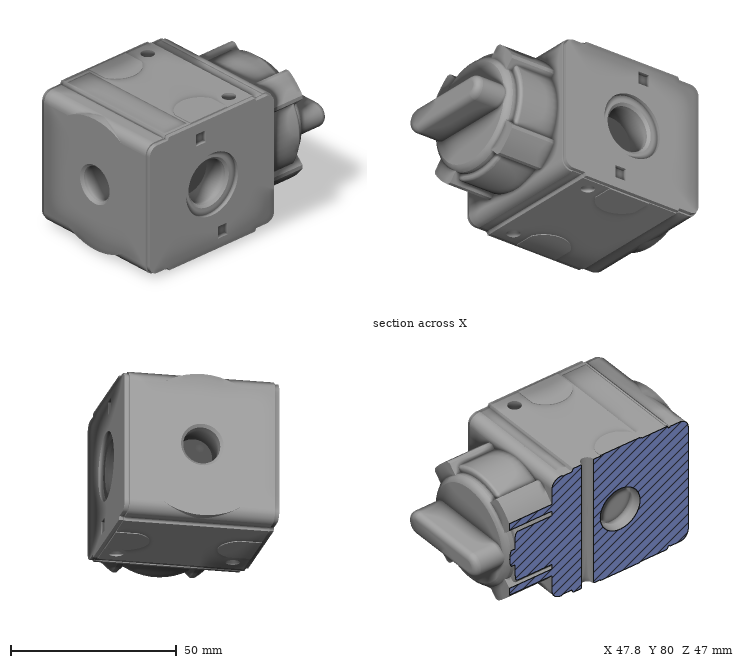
import cadquery as cq
import math


BODY_WIDTH = 45.0
BODY_LENGTH = 52.0
BODY_HEIGHT = 45.0
BODY_CORNER_RADIUS = 3.5
FRONT_BOSS_LENGTH = 10.0

PANEL_LENGTH = 35.8
PANEL_HEIGHT = 46.5
PANEL_EDGE_SLOPE = 0.5
RELIEF_DEPTH = 0.3
REAR_RELIEF_END = 22.0
FRONT_RELIEF_END = -18.9

PLATE_THICKNESS = 1.4
PLATE_INSET = 0.5
PANEL_INSET = 0.25

PAD_LENGTH = 15.0
PAD_RADIUS = 8.2
PAD_TIP_X = 10.7
OVERALL_HEIGHT = 47.0
MOUNT_HOLE_DIAMETER = 4.4
MOUNT_HOLE_X = 18.0
MOUNT_HOLE_Y = 12.4
LABEL_WIDTH = 43.0
LABEL_LENGTH = 9.2
LABEL_CENTER_Y = -12.8
LABEL_DEPTH = 0.3

SIDE_PORT_DIAMETER = 14.95
SIDE_PORT_MOUTH_DIAMETER = 16.6
SIDE_PORT_DEPTH = 9.0
SEAL_DIAMETER = 21.4
SEAL_DEPTH = 1.5
FRONT_PORT_DIAMETER = 11.45
FRONT_PORT_MOUTH_DIAMETER = 13.2
FRONT_PORT_DEPTH = 12.0
PORT_CHAMFER_ANGLE = 45.0

POCKET_SIZE = 4.1
POCKET_Y = 4.45
POCKET_Z = 17.6
POCKET_DEPTH = 1.5

BONNET_RADIUS = 20.25
BONNET_END_Y = 40.0
BONNET_EDGE_RADIUS = 1.0
RIB_WIDTH = 10.25
RIB_CIRCLE_RADIUS = 22.5
RIB_SQUARE = 37.25
RIB_ANGLE = 45.0
RIB_END_Y = 42.1
NECK_RADIUS = 18.25
NECK_END_Y = 43.4
NECK_SHOULDER_Y = 41.5
NECK_TOP_RADIUS = 16.4
NECK_SHOULDER_BULGE = 0.3

KNOB_WIDTH = 33.9
KNOB_THICKNESS = 8.0
KNOB_END_Y = 54.0
KNOB_EDGE_RADIUS = 2.1

FRONT_Y = -BODY_LENGTH / 2
REAR_Y = BODY_LENGTH / 2
PLATE_FACE_X = BODY_WIDTH / 2 + PLATE_THICKNESS


def box(width, length, height, center):
    return cq.Workplane("XY").box(width, length, height).translate(center)


def rear_disc(radius, start_y, end_y):
    """Cylinder along Y between two Y positions."""
    return cq.Workplane("XZ", origin=(0, start_y, 0)).circle(radius).extrude(start_y - end_y)


def rounded_block(width, length, height, radius):
    return cq.Workplane("XY").box(width, length, height).edges("|X").fillet(radius)


def raised_panel(width, length, height, foot_height):
    """Block with upper and lower faces of the given length, widening towards its feet."""
    foot_y = length / 2 + PANEL_EDGE_SLOPE
    foot_z = foot_height / 2
    top_y = length / 2
    top_z = height / 2
    profile = [
        (-foot_y, -foot_z),
        (-top_y, -top_z),
        (top_y, -top_z),
        (foot_y, -foot_z),
        (foot_y, foot_z),
        (top_y, top_z),
        (-top_y, top_z),
        (-foot_y, foot_z),
    ]
    return cq.Workplane("YZ").polyline(profile).close().extrude(width / 2, both=True)


def make_body():
    body = rounded_block(BODY_WIDTH, BODY_LENGTH, BODY_HEIGHT, BODY_CORNER_RADIUS)
    boss = rear_disc(BODY_HEIGHT / 2, FRONT_Y, FRONT_Y + FRONT_BOSS_LENGTH)
    body = body.union(boss)
    for end_y in (REAR_RELIEF_END, FRONT_RELIEF_END):
        for side in (1, -1):
            relief_z = side * (BODY_HEIGHT - RELIEF_DEPTH) / 2
            relief = box(BODY_WIDTH, abs(end_y), RELIEF_DEPTH, (0, end_y / 2, relief_z))
            body = body.cut(relief)
    foot_height = BODY_HEIGHT - 2 * RELIEF_DEPTH
    return body.union(raised_panel(BODY_WIDTH, PANEL_LENGTH, PANEL_HEIGHT, foot_height))


def make_end_plates():
    width = 2 * PLATE_FACE_X
    length = BODY_LENGTH - 2 * PLATE_INSET
    height = BODY_HEIGHT - 2 * PLATE_INSET
    plates = rounded_block(width, length, height, BODY_CORNER_RADIUS - PLATE_INSET)
    panel_length = PANEL_LENGTH - 2 * PANEL_INSET
    panel_height = PANEL_HEIGHT - 2 * PANEL_INSET
    return plates.union(raised_panel(width, panel_length, panel_height, height))


def make_pads():
    """Half-round pads at both sides of the upper and lower faces."""
    circle_x = PAD_TIP_X + PAD_RADIUS
    strip_length = BODY_WIDTH / 2 - PAD_TIP_X
    pads = cq.Workplane("XY")
    for side in (1, -1):
        strip_x = side * (PAD_TIP_X + strip_length / 2)
        strip = box(strip_length, PAD_LENGTH, OVERALL_HEIGHT, (strip_x, 0, 0))
        end_x = side * (circle_x + BODY_WIDTH / 2) / 2
        outer = box(BODY_WIDTH / 2 - circle_x, PAD_LENGTH, OVERALL_HEIGHT, (end_x, 0, 0))
        disc = cq.Workplane("XY").center(side * circle_x, 0).circle(PAD_RADIUS)
        disc = disc.extrude(OVERALL_HEIGHT / 2, both=True)
        pads = pads.add(strip.intersect(disc).union(outer))
    return pads.combine()


def make_bonnet():
    bonnet = rear_disc(BONNET_RADIUS, 0, BONNET_END_Y).faces(">Y").edges().fillet(BONNET_EDGE_RADIUS)
    rib_length = RIB_END_Y - REAR_Y
    rib_center = (0, (RIB_END_Y + REAR_Y) / 2, 0)
    ribs = box(2 * RIB_CIRCLE_RADIUS, rib_length, RIB_WIDTH, rib_center)
    ribs = ribs.union(box(RIB_WIDTH, rib_length, 2 * RIB_CIRCLE_RADIUS, rib_center))
    ribs = ribs.rotate((0, 0, 0), (0, 1, 0), RIB_ANGLE)
    ribs = ribs.intersect(rear_disc(RIB_CIRCLE_RADIUS, REAR_Y, RIB_END_Y))
    ribs = ribs.intersect(box(RIB_SQUARE, rib_length, RIB_SQUARE, rib_center))
    return bonnet.union(ribs)


def make_neck():
    """Round neck that narrows to its end over a slightly bulged shoulder."""
    bulge = NECK_SHOULDER_BULGE * math.sqrt(0.5)
    middle = (
        (NECK_RADIUS + NECK_TOP_RADIUS) / 2 + bulge,
        (NECK_SHOULDER_Y + NECK_END_Y) / 2 + bulge,
    )
    profile = cq.Workplane("XY").lineTo(NECK_RADIUS, 0).lineTo(NECK_RADIUS, NECK_SHOULDER_Y)
    profile = profile.threePointArc(middle, (NECK_TOP_RADIUS, NECK_END_Y)).lineTo(0, NECK_END_Y).close()
    return profile.revolve(360, (0, 0, 0), (0, 1, 0))


def make_knob():
    knob = cq.Workplane("XZ").slot2D(KNOB_WIDTH, KNOB_THICKNESS).extrude(-KNOB_END_Y)
    return knob.faces(">Y").edges().fillet(KNOB_EDGE_RADIUS)


def port_cutter(plane, diameter, mouth_diameter, depth):
    """Blind bore with a chamfered mouth, cut inwards from the plane."""
    chamfer = (mouth_diameter - diameter) / 2
    bore = cq.Workplane(plane).circle(diameter / 2).extrude(-depth)
    mouth = cq.Workplane(plane).circle(mouth_diameter / 2).extrude(-chamfer, taper=PORT_CHAMFER_ANGLE)
    return bore.union(mouth)


def cut_side_features(part):
    for side in (1, -1):
        face = cq.Plane(origin=(side * PLATE_FACE_X, 0, 0), xDir=(0, 1, 0), normal=(side, 0, 0))
        part = part.cut(cq.Workplane(face).circle(SEAL_DIAMETER / 2).extrude(-SEAL_DEPTH))
        seat = cq.Plane(
            origin=(side * (PLATE_FACE_X - SEAL_DEPTH), 0, 0), xDir=(0, 1, 0), normal=(side, 0, 0)
        )
        port = port_cutter(seat, SIDE_PORT_DIAMETER, SIDE_PORT_MOUTH_DIAMETER, SIDE_PORT_DEPTH)
        part = part.cut(port)
        pocket_x = side * (PLATE_FACE_X - POCKET_DEPTH / 2)
        for end in (1, -1):
            place = (pocket_x, -end * POCKET_Y, end * POCKET_Z)
            part = part.cut(box(POCKET_DEPTH, POCKET_SIZE, POCKET_SIZE, place))
    return part


def cut_front_port(part):
    face = cq.Plane(origin=(0, FRONT_Y, 0), xDir=(1, 0, 0), normal=(0, -1, 0))
    return part.cut(port_cutter(face, FRONT_PORT_DIAMETER, FRONT_PORT_MOUTH_DIAMETER, FRONT_PORT_DEPTH))


def cut_upper_features(part):
    for side in (1, -1):
        hole = cq.Workplane("XY").center(side * MOUNT_HOLE_X, MOUNT_HOLE_Y)
        part = part.cut(hole.circle(MOUNT_HOLE_DIAMETER / 2).extrude(OVERALL_HEIGHT, both=True))
    label_z = (PANEL_HEIGHT - LABEL_DEPTH) / 2
    return part.cut(box(LABEL_WIDTH, LABEL_LENGTH, LABEL_DEPTH, (0, LABEL_CENTER_Y, label_z)))


part = make_body().union(make_end_plates()).union(make_pads())
part = part.union(make_bonnet()).union(make_neck()).union(make_knob())
part = cut_side_features(part)
part = cut_front_port(part)
result = cut_upper_features(part)